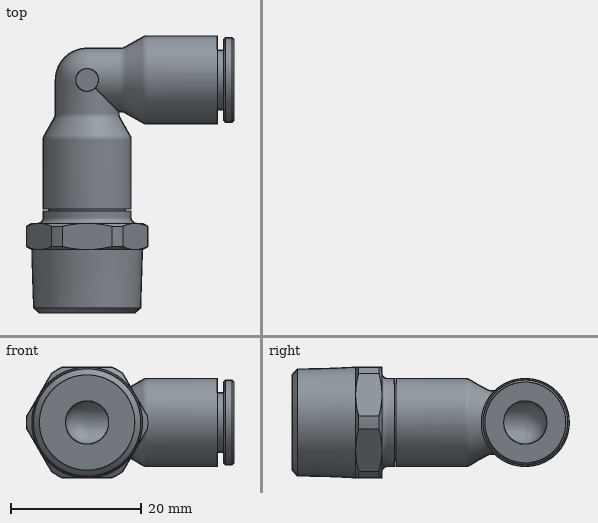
import cadquery as cq


neck_radius = 4.9
sleeve_radius = 6.75
cone_start = 5.55
cone_end = 8.85
cone_blend_radius = 1.0
bore_radius = 3.3

port_sleeve_end = 20.0
collar_neck_radius = 4.6
collar_flange_start = 20.95
collar_flange_radius = 6.5
collar_end = 22.55
collar_chamfer = 0.3

overall_length = 42.55
stem_end = overall_length - sleeve_radius
stem_sleeve_end = 19.83
seam_groove_width = 0.25
seam_groove_depth = 0.85
stem_shoulder_end = 21.15
shoulder_fillet_radius = 0.85

hex_start = stem_shoulder_end + shoulder_fillet_radius
hex_end = 26.05
hex_across_flats = 17.0
hex_turn = 30
hex_corner_radius = 9.3
hex_chamfer_length = 0.45

thread_start_radius = hex_across_flats / 2
thread_taper = 1 / 16
thread_chamfer_length = 0.8
thread_tip_radius = 7.3

recess_radius = 1.75
recess_depth = 0.4

port_plane = cq.Plane(origin=(0, 0, 0), xDir=(0, 1, 0), normal=(1, 0, 0))
stem_plane = cq.Plane(origin=(0, 0, 0), xDir=(1, 0, 0), normal=(0, -1, 0))


def sketch_across(plane, distance):
    """Workplane square to an arm at a distance along it."""
    origin = plane.origin + plane.zDir * distance
    return cq.Workplane(cq.Plane(origin=origin, xDir=plane.xDir, normal=plane.zDir))


def cylinder(plane, radius, start, end):
    """Cylinder around the plane normal between two distances along it."""
    return sketch_across(plane, start).circle(radius).extrude(end - start)


def axial_sketch(plane):
    """Workplane with local X pointing away from the arm axis and local Y along it."""
    side_normal = plane.xDir.cross(plane.zDir)
    return cq.Workplane(cq.Plane(origin=plane.origin, xDir=plane.xDir, normal=side_normal))


def revolve_around_arm(outline):
    """Full turn of a closed axial sketch around its arm axis."""
    return outline.revolve(360, (0, 0, 0), (0, 1, 0))


def revolved(plane, profile):
    """Solid of revolution around the plane normal from (radius, distance) points."""
    return revolve_around_arm(axial_sketch(plane).polyline(profile).close())


def neck_and_sleeve(plane, sleeve_end):
    """Neck, cone and sleeve of one arm, with both ends of the cone blended."""
    profile = [
        (0, 0),
        (neck_radius, 0),
        (neck_radius, cone_start),
        (sleeve_radius, cone_end),
        (sleeve_radius, sleeve_end),
        (0, sleeve_end),
    ]
    arm = revolved(plane, profile)
    return arm.faces("%CONE").edges("%CIRCLE").fillet(cone_blend_radius)


def release_collar():
    neck = cylinder(port_plane, collar_neck_radius, port_sleeve_end, collar_flange_start)
    flange = cylinder(port_plane, collar_flange_radius, collar_flange_start, collar_end)
    return neck.union(flange.edges().chamfer(collar_chamfer))


def stem_shoulder():
    """Seam groove floor, then the shoulder with a concave flare into the hexagon."""
    groove_radius = sleeve_radius - seam_groove_depth
    groove_end = stem_sleeve_end + seam_groove_width
    flare_radius = sleeve_radius + shoulder_fillet_radius
    outline = (
        axial_sketch(stem_plane)
        .moveTo(0, stem_sleeve_end)
        .lineTo(groove_radius, stem_sleeve_end)
        .lineTo(groove_radius, groove_end)
        .lineTo(sleeve_radius, groove_end)
        .lineTo(sleeve_radius, stem_shoulder_end)
        .tangentArcPoint((flare_radius, hex_start), relative=False)
        .lineTo(0, hex_start)
        .close()
    )
    return revolve_around_arm(outline)


def hexagon():
    """Hexagon with two flats facing +Z and -Z, trimmed by a chamfered cylinder."""
    prism = (
        sketch_across(stem_plane, hex_start)
        .transformed(rotate=(0, 0, hex_turn))
        .polygon(6, hex_across_flats, circumscribed=True)
        .extrude(hex_end - hex_start)
    )
    flat_radius = hex_across_flats / 2
    envelope = [
        (0, hex_start),
        (flat_radius, hex_start),
        (hex_corner_radius, hex_start + hex_chamfer_length),
        (hex_corner_radius, hex_end - hex_chamfer_length),
        (flat_radius, hex_end),
        (0, hex_end),
    ]
    return prism.intersect(revolved(stem_plane, envelope))


def tapered_thread():
    chamfer_start = stem_end - thread_chamfer_length
    end_radius = thread_start_radius - (chamfer_start - hex_end) * thread_taper / 2
    profile = [
        (0, hex_end),
        (thread_start_radius, hex_end),
        (end_radius, chamfer_start),
        (thread_tip_radius, stem_end),
        (0, stem_end),
    ]
    return revolved(stem_plane, profile)


def bent_bore():
    """Bore through both arms, rounded by a sphere where they meet."""
    port_bore = cylinder(port_plane, bore_radius, 0, collar_end)
    stem_bore = cylinder(stem_plane, bore_radius, 0, stem_end)
    return port_bore.union(stem_bore).union(cq.Workplane().sphere(bore_radius))


def elbow_recess():
    floor_height = neck_radius - recess_depth
    return cq.Workplane().workplane(offset=floor_height).circle(recess_radius).extrude(recess_depth)


elbow = (
    cq.Workplane()
    .sphere(neck_radius)
    .union(neck_and_sleeve(port_plane, port_sleeve_end))
    .union(neck_and_sleeve(stem_plane, stem_sleeve_end))
)
stem = stem_shoulder().union(hexagon()).union(tapered_thread())

result = elbow.union(release_collar()).union(stem).cut(bent_bore()).cut(elbow_recess())